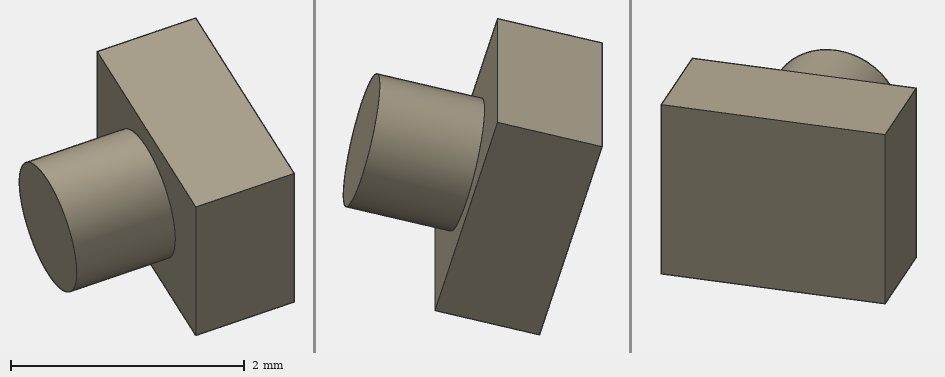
import cadquery as cq

block_width = 2.0
block_height = 1.62
total_depth = 1.86
block_depth = total_depth / 2
peg_length = total_depth - block_depth
peg_diameter = 1.17

block = cq.Workplane("XZ").rect(block_width, block_height).extrude(-block_depth)

peg = cq.Workplane("XZ").circle(peg_diameter / 2).extrude(peg_length)

result = block.union(peg)